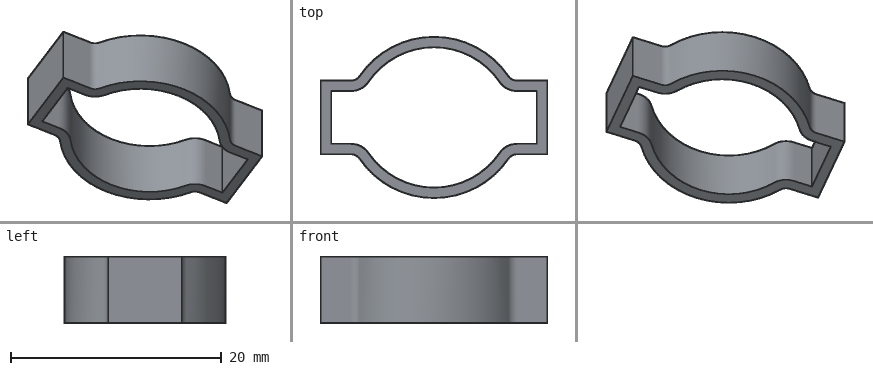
import cadquery as cq
import math

length = 21.5
width = 15.3
height = 6.3
wall = 1.0
tab_width = 7.0
arch_radius = 8.54
blend_radius = 0.99

arch_center_y = width / 2 - arch_radius

blend_center_y = tab_width / 2 + blend_radius
blend_rise = blend_center_y - arch_center_y
blend_center_x = math.sqrt((arch_radius + blend_radius) ** 2 - blend_rise**2)
blend_angle = math.atan2(blend_center_x, blend_rise)


def outline(inset):
    """Closed band outline, moved inwards from the outer face by inset."""
    end_x = length / 2 - inset
    side_y = tab_width / 2 - inset
    apex_y = width / 2 - inset
    arch = arch_radius - inset
    blend = blend_radius + inset

    tangent_x = arch * math.sin(blend_angle)
    tangent_y = arch_center_y + arch * math.cos(blend_angle)
    middle_x = blend_center_x - blend * math.sin(blend_angle / 2)
    middle_y = blend_center_y - blend * math.cos(blend_angle / 2)

    sketch = cq.Workplane("XY").moveTo(end_x, -side_y)
    for side in (1, -1):
        sketch = (
            sketch.lineTo(side * end_x, side * side_y)
            .lineTo(side * blend_center_x, side * side_y)
            .threePointArc((side * middle_x, side * middle_y), (side * tangent_x, side * tangent_y))
            .threePointArc((0, side * apex_y), (-side * tangent_x, side * tangent_y))
            .threePointArc(
                (-side * middle_x, side * middle_y),
                (-side * blend_center_x, side * side_y),
            )
            .lineTo(-side * end_x, side * side_y)
        )
    return sketch.close()


outer_body = outline(0).extrude(height)
opening = outline(wall).extrude(height)
result = outer_body.cut(opening)